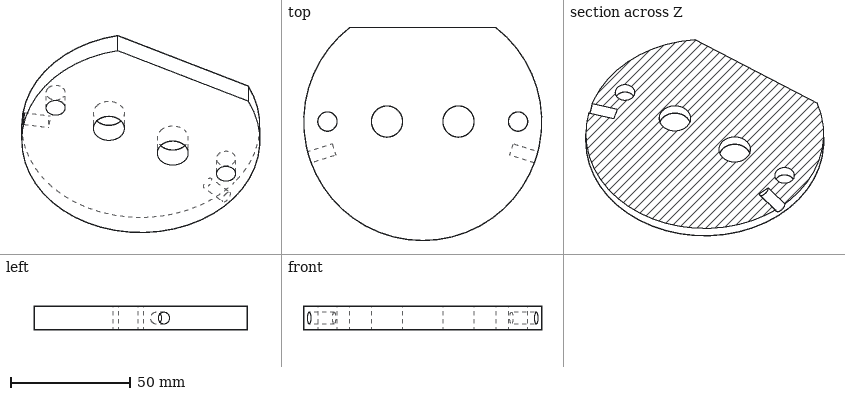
import cadquery as cq
import math

disc_diameter = 100.0
thickness = 10.0
flat_distance = 39.5

inner_hole_diameter = 13.0
inner_hole_offset = 15.0
outer_hole_diameter = 8.0
outer_hole_offset = 40.0

rim_hole_diameter = 4.92
rim_hole_depth = 11.0
rim_hole_y = -15.0


def flatted_disc():
    """Disc with one flat on its +Y side."""
    disc = cq.Workplane("XY").circle(disc_diameter / 2).extrude(thickness)
    beyond_flat = (
        cq.Workplane("XY")
        .center(0, flat_distance + disc_diameter / 2)
        .rect(disc_diameter, disc_diameter)
        .extrude(thickness)
    )
    return disc.cut(beyond_flat)


def through_hole_pair(diameter, offset):
    """Two plugs on the X axis for cutting a mirrored pair of through holes."""
    return (
        cq.Workplane("XY")
        .pushPoints([(-offset, 0), (offset, 0)])
        .circle(diameter / 2)
        .extrude(thickness)
    )


def rim_hole(side):
    """Plug for the radial hole on the +X (side = 1) or -X (side = -1) half of the rim."""
    disc_radius = disc_diameter / 2
    rim_x = side * math.sqrt(disc_radius**2 - rim_hole_y**2)
    inward = cq.Vector(-rim_x, -rim_hole_y, 0).normalized()
    mouth = cq.Vector(rim_x, rim_hole_y, thickness / 2)
    start = mouth - inward * rim_hole_diameter
    length = rim_hole_depth + rim_hole_diameter
    return cq.Solid.makeCylinder(rim_hole_diameter / 2, length, start, inward)


result = (
    flatted_disc()
    .cut(through_hole_pair(inner_hole_diameter, inner_hole_offset))
    .cut(through_hole_pair(outer_hole_diameter, outer_hole_offset))
    .cut(rim_hole(-1))
    .cut(rim_hole(1))
)